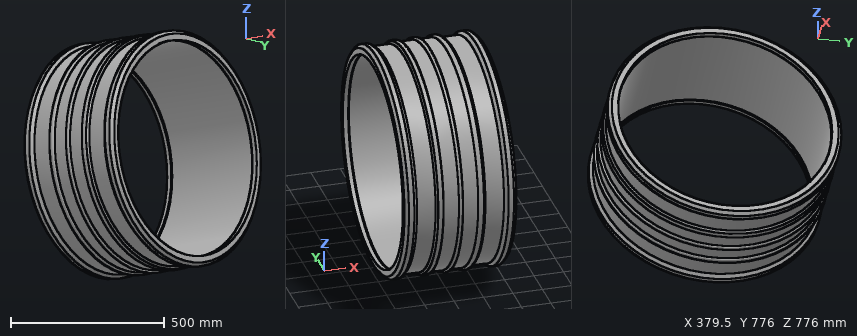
import cadquery as cq
import math

length = 379.5
outer_radius = 388.0
half_length = length / 2

groove_radius = 753.0 / 2
end_radius = groove_radius
band_radius = 760.0 / 2
lip_radius = 710.0 / 2

lip_length = 18.0
lip_taper_length = 3.0
relief_depth = 1.5
bore_radius = lip_radius + relief_depth

crest_outer_x = half_length - 12.0
crest_inner_x = 160.0
collar_foot_x = 147.5

rib_radius = 775.0 / 2
side_rib_foot_x = 84.5
side_rib_shoulder_x = 77.5
side_rib_shoulder_radius = 384.0
side_rib_inner_x = 59.0
side_rib_round = 5.05
center_rib_round = 2.0
center_rib_half_width = 6.0
rib_embed_depth = 8.0


def wall():
    """Revolved wall with end collars, grooves, raised middle band and bore."""
    right_outline = [
        (side_rib_inner_x, band_radius),
        (side_rib_shoulder_x, side_rib_shoulder_radius),
        (side_rib_foot_x, groove_radius),
        (collar_foot_x, groove_radius),
        (crest_inner_x, outer_radius),
        (crest_outer_x, outer_radius),
        (half_length, end_radius),
        (half_length, lip_radius),
        (half_length - lip_length, lip_radius),
        (half_length - lip_length - lip_taper_length, bore_radius),
    ]
    left_outline = [(-x, radius) for x, radius in reversed(right_outline)]
    profile = cq.Workplane("XY").polyline(right_outline + left_outline).close()
    return profile.revolve(360, (0, 0, 0), (1, 0, 0))


def rib(left_x, right_x, corner_round):
    """Ring standing on the wall, with rounded crest corners."""
    root_radius = groove_radius - rib_embed_depth
    arc_inset = 1 - math.sqrt(0.5)
    profile = (
        cq.Workplane("XY")
        .moveTo(left_x, root_radius)
        .lineTo(left_x, rib_radius - corner_round)
        .threePointArc(
            (left_x + corner_round * arc_inset, rib_radius - corner_round * arc_inset),
            (left_x + corner_round, rib_radius),
        )
        .lineTo(right_x - corner_round, rib_radius)
        .threePointArc(
            (right_x - corner_round * arc_inset, rib_radius - corner_round * arc_inset),
            (right_x, rib_radius - corner_round),
        )
        .lineTo(right_x, root_radius)
        .close()
    )
    return profile.revolve(360, (0, 0, 0), (1, 0, 0))


side_rib = rib(side_rib_inner_x, side_rib_shoulder_x, side_rib_round)
center_rib = rib(-center_rib_half_width, center_rib_half_width, center_rib_round)

result = wall().union(center_rib).union(side_rib).union(side_rib.mirror("YZ"))